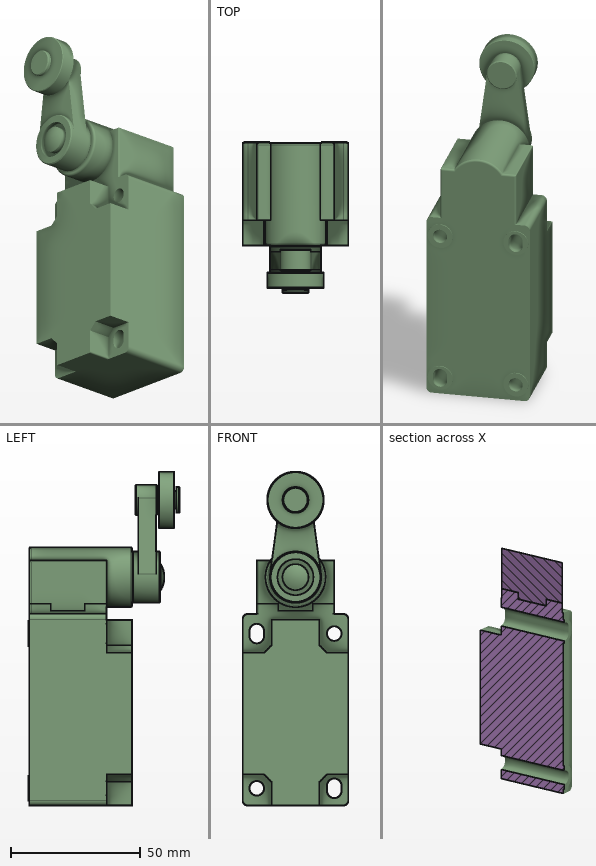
import cadquery as cq
import math


TOTAL_HEIGHT = 129.3

HOUSING_WIDTH = 41.0
HOUSING_DEPTH = 39.8
SHOULDER_Z = 74.2
CORNER_RADIUS = 2.1
FLANGE_DEPTH = 30.0
COVER_WIDTH = 18.5
COVER_TOP_Z = 71.9
COVER_BOTTOM_FILLET = 0.5
POCKET_HEIGHT = 12.2
UPPER_POCKET_Z = 59.1
POCKET_BEVEL = 3.0

HOLE_DIAMETER = 5.5
SLOT_LENGTH = 7.5
HOLE_X = 15.0
UPPER_HOLE_Z = 66.6
LOWER_HOLE_Z = 6.7
PAD_DIAMETER = 9.8
PAD_HEIGHT = 0.4

HEAD_WIDTH = 30.0
HEAD_TOP_Z = 95.0
SEAM_Z = 78.2
TAB_HEIGHT = 2.7
TAB_WIDTH = 13.2
BARREL_RADIUS = 11.6
BACK_ROUND = 0.8
EDGE_ROUND = 0.4

ROLLER_RADIUS = 11.0
ROLLER_Z = TOTAL_HEIGHT - ROLLER_RADIUS
SHAFT_Z = 88.5
HUB_RADIUS = 10.0
HUB_LENGTH = 10.9
BOSS_RADIUS = 6.0
RIM_CHAMFER = 0.4
ARM_THICKNESS = 7.0
ARM_BACK_Y = -42.2
BOSS_BACK_RISE = 1.0
BOSS_FRONT_RISE = 0.4
RECESS_RADIUS = 7.0
RECESS_DEPTH = 2.0
DOME_RADIUS = 5.0
DOME_STEP = 0.3
DOME_HEIGHT = 1.4

ROLLER_WIDTH = 6.1
ROLLER_GAP = 0.6
ROLLER_CHAMFER = 0.3
PIN_RADIUS = 3.5
PIN_HEAD_RADIUS = 5.0
PIN_HEAD_LENGTH = 1.4
PIN_HEAD_CHAMFER = 0.4

HUB_BACK_Y = -HOUSING_DEPTH
HUB_FRONT_Y = HUB_BACK_Y - HUB_LENGTH
BOSS_BACK_Y = ARM_BACK_Y + BOSS_BACK_RISE
BOSS_FRONT_Y = ARM_BACK_Y - ARM_THICKNESS - BOSS_FRONT_RISE
ROLLER_BACK_Y = BOSS_FRONT_Y - ROLLER_GAP
ROLLER_FRONT_Y = ROLLER_BACK_Y - ROLLER_WIDTH
PIN_HEAD_Y = ROLLER_FRONT_Y - ROLLER_GAP


def block(width, back_y, front_y, bottom_z, top_z):
    """Box centred on X = 0 between two Y planes and two Z levels."""
    depth = back_y - front_y
    height = top_z - bottom_z
    return cq.Workplane("XY").box(width, depth, height, centered=(True, False, False)).translate(
        (0, front_y, bottom_z)
    )


def front_plane(back_y, x, z):
    """Plane facing -Y whose extrusions run forward from back_y."""
    return cq.Workplane("XZ", origin=(x, back_y, z))


def disc(radius, back_y, length, z, x=0):
    """Cylinder along Y that runs forward from back_y."""
    return front_plane(back_y, x, z).circle(radius).extrude(length)


def make_tabs():
    """Crossed tongues that locate the head on the housing."""
    bottom_z = SEAM_Z - TAB_HEIGHT
    lengthwise = block(TAB_WIDTH, 0, -FLANGE_DEPTH, bottom_z, SEAM_Z)
    middle_y = -FLANGE_DEPTH / 2
    crosswise = block(
        HEAD_WIDTH, middle_y + TAB_WIDTH / 2, middle_y - TAB_WIDTH / 2, bottom_z, SEAM_Z
    )
    return lengthwise.union(crosswise)


def make_upright():
    """Upright block with eased edges that the housing neck and the head share."""
    return (
        block(HEAD_WIDTH, 0, -FLANGE_DEPTH, SHOULDER_Z, HEAD_TOP_Z)
        .faces(">Y")
        .edges("not <Z")
        .fillet(BACK_ROUND)
        .edges("(<Y and (not <Z)) or (>Z and |Y)")
        .fillet(EDGE_ROUND)
    )


def make_raised_front():
    """Front of the housing, narrowed at both ends to clear the mounting holes."""
    half_wide = HOUSING_WIDTH / 2
    half_narrow = COVER_WIDTH / 2
    half_bevel = half_narrow + POCKET_BEVEL
    right_side = [
        (half_narrow, 0),
        (half_narrow, POCKET_HEIGHT - POCKET_BEVEL),
        (half_bevel, POCKET_HEIGHT),
        (half_wide, POCKET_HEIGHT),
        (half_wide, UPPER_POCKET_Z),
        (half_bevel, UPPER_POCKET_Z),
        (half_narrow, UPPER_POCKET_Z + POCKET_BEVEL),
        (half_narrow, COVER_TOP_Z),
    ]
    left_side = [(-x, z) for x, z in reversed(right_side)]
    front = (
        front_plane(-FLANGE_DEPTH, 0, 0)
        .polyline(right_side + left_side)
        .close()
        .extrude(HOUSING_DEPTH - FLANGE_DEPTH)
    )
    return front.edges("|Y and <Z").fillet(COVER_BOTTOM_FILLET)


def make_housing(upright, tabs):
    """Box with raised front, neck for the head, mounting pads and mounting holes."""
    box = block(HOUSING_WIDTH, 0, -FLANGE_DEPTH, 0, SHOULDER_Z).edges("|Y").fillet(CORNER_RADIUS)
    neck = upright.intersect(block(HEAD_WIDTH, 0, -FLANGE_DEPTH, SHOULDER_Z, SEAM_Z))
    housing = box.union(make_raised_front()).union(neck).cut(tabs)

    for side in (-1, 1):
        for hole_z in (LOWER_HOLE_Z, UPPER_HOLE_Z):
            x = side * HOLE_X
            housing = housing.union(disc(PAD_DIAMETER / 2, PAD_HEIGHT, PAD_HEIGHT, hole_z, x))

    hole_length = PAD_HEIGHT + FLANGE_DEPTH
    for side, round_z, slot_z in (
        (-1, LOWER_HOLE_Z, UPPER_HOLE_Z),
        (1, UPPER_HOLE_Z, LOWER_HOLE_Z),
    ):
        x = side * HOLE_X
        round_hole = disc(HOLE_DIAMETER / 2, PAD_HEIGHT, hole_length, round_z, x)
        slot = front_plane(PAD_HEIGHT, x, slot_z).slot2D(SLOT_LENGTH, HOLE_DIAMETER, 90)
        housing = housing.cut(round_hole).cut(slot.extrude(hole_length))
    return housing


def make_head(upright, tabs):
    """Block on top of the housing with the long bearing barrel through it."""
    upper = upright.intersect(block(HEAD_WIDTH, 0, -FLANGE_DEPTH, SEAM_Z, HEAD_TOP_Z))
    barrel = disc(BARREL_RADIUS, 0, HOUSING_DEPTH, SHAFT_Z).edges().fillet(BACK_ROUND)
    return upper.union(tabs.intersect(upright)).union(barrel)


def make_arm():
    """Flat arm bounded by the two common tangents of hub and boss."""
    slope = math.asin((HUB_RADIUS - BOSS_RADIUS) / (ROLLER_Z - SHAFT_Z))
    boss_x = BOSS_RADIUS * math.cos(slope)
    boss_z = ROLLER_Z + BOSS_RADIUS * math.sin(slope)
    hub_x = HUB_RADIUS * math.cos(slope)
    hub_z = SHAFT_Z + HUB_RADIUS * math.sin(slope)
    return (
        front_plane(ARM_BACK_Y, 0, 0)
        .moveTo(hub_x, hub_z)
        .lineTo(boss_x, boss_z)
        .threePointArc((0, ROLLER_Z + BOSS_RADIUS), (-boss_x, boss_z))
        .lineTo(-hub_x, hub_z)
        .threePointArc((0, SHAFT_Z - HUB_RADIUS), (hub_x, hub_z))
        .close()
        .extrude(ARM_THICKNESS)
    )


def make_dome():
    """Round-ended stub that stands in the middle of the hub recess."""
    base_y = HUB_FRONT_Y + RECESS_DEPTH
    shoulder_y = HUB_FRONT_Y - DOME_STEP
    tip_y = shoulder_y - DOME_HEIGHT
    cap_radius = (DOME_RADIUS**2 + DOME_HEIGHT**2) / (2 * DOME_HEIGHT)
    half_x = DOME_RADIUS / 2
    half_y = tip_y + cap_radius - math.sqrt(cap_radius**2 - half_x**2)
    return (
        cq.Workplane("XY", origin=(0, 0, SHAFT_Z))
        .moveTo(0, base_y)
        .lineTo(DOME_RADIUS, base_y)
        .lineTo(DOME_RADIUS, shoulder_y)
        .threePointArc((half_x, half_y), (0, tip_y))
        .close()
        .revolve(360, (0, 0, 0), (0, 1, 0))
    )


def make_lever():
    """Hub, arm and boss, with a through hole for the roller pin."""
    hub = disc(HUB_RADIUS, HUB_BACK_Y, HUB_LENGTH, SHAFT_Z).edges().chamfer(RIM_CHAMFER)
    boss_length = BOSS_BACK_Y - BOSS_FRONT_Y
    boss = disc(BOSS_RADIUS, BOSS_BACK_Y, boss_length, ROLLER_Z).edges().chamfer(RIM_CHAMFER)
    recess = disc(RECESS_RADIUS, HUB_FRONT_Y + RECESS_DEPTH, RECESS_DEPTH, SHAFT_Z)
    pin_hole = disc(PIN_RADIUS, BOSS_BACK_Y, boss_length, ROLLER_Z)
    return hub.union(make_arm()).union(boss).cut(recess).union(make_dome()).cut(pin_hole)


def make_roller():
    """Plain roller with a bore for the pin."""
    wheel = disc(ROLLER_RADIUS, ROLLER_BACK_Y, ROLLER_WIDTH, ROLLER_Z).edges().chamfer(ROLLER_CHAMFER)
    return wheel.cut(disc(PIN_RADIUS, ROLLER_BACK_Y, ROLLER_WIDTH, ROLLER_Z))


def make_pin():
    """Headed pin from the back of the boss through the roller."""
    stem = disc(PIN_RADIUS, BOSS_BACK_Y, BOSS_BACK_Y - PIN_HEAD_Y, ROLLER_Z)
    head = disc(PIN_HEAD_RADIUS, PIN_HEAD_Y, PIN_HEAD_LENGTH, ROLLER_Z)
    return stem.union(head.faces("<Y").chamfer(PIN_HEAD_CHAMFER))


head_tabs = make_tabs()
shared_upright = make_upright()

housing = make_housing(shared_upright, head_tabs)
head = make_head(shared_upright, head_tabs)
lever = make_lever()
roller = make_roller()
roller_pin = make_pin()

result = cq.Compound.makeCompound(
    [
        *housing.solids().vals(),
        *head.solids().vals(),
        *lever.solids().vals(),
        *roller.solids().vals(),
        *roller_pin.solids().vals(),
    ]
)